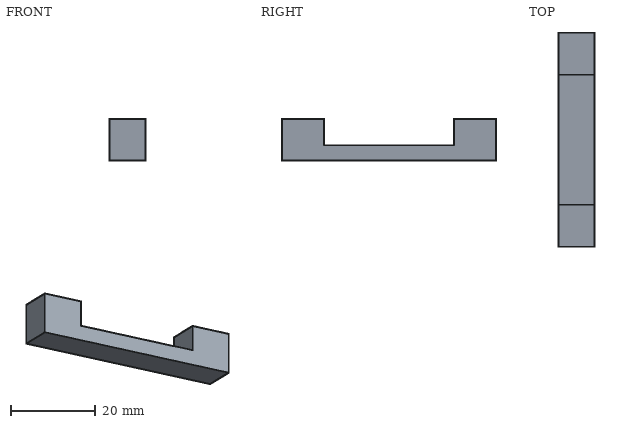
import cadquery as cq

width = 8.65
length = 50.8
height = 9.9

block_length = 10.0
bar_thickness = 3.7

gap_length = length - 2 * block_length
gap_depth = height - bar_thickness

body = cq.Workplane("XY").box(width, length, height, centered=(True, True, False))

gap = (
    cq.Workplane("XY")
    .workplane(offset=bar_thickness)
    .box(width, gap_length, gap_depth, centered=(True, True, False))
)

result = body.cut(gap)